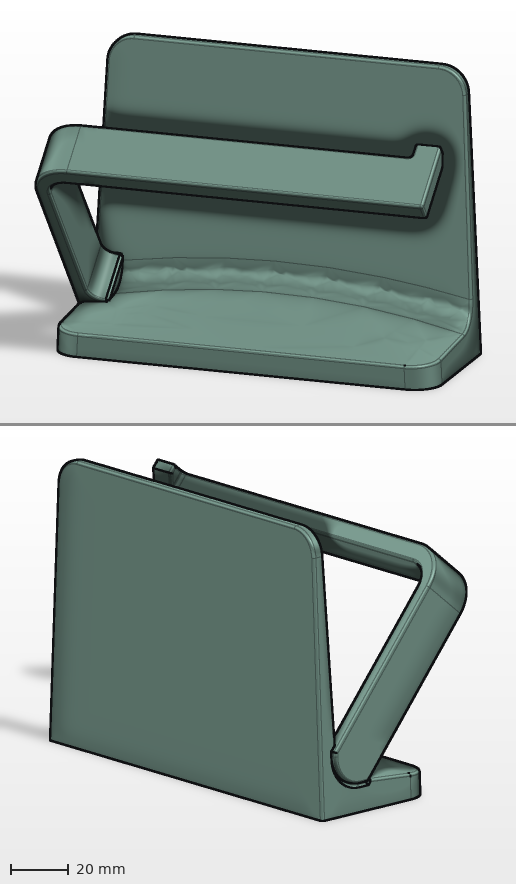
import cadquery as cq
import math


stand_width = 140.4
stand_height = 103.0
stand_depth = 51.5
side_draft = 2.7
plate_bottom_thickness = 8.5
plate_top_thickness = 4.2
foot_front_height = 8.4
foot_side_height = 12.3
foot_middle_height = 22.9
corner_radius = 10.0

arm_tilt = 50.0
arm_upper_offset = -10.6
arm_lower_offset = 9.7
arm_reach = 103.7
arm_left = -70.5
arm_length = 145.0
leg_thickness = 5.2
bar_thickness = 7.4
bend_outer_radius = 14.5
bend_inner_radius = 8.0
toe_length = 11.7
toe_reach = 24.2
root_radius = 11.6
root_back = -6.0
root_bottom = 10.3
lip_length = 9.5
lip_height = 5.4
lip_bevel = 3.9
lip_corner_radius = 1.5

seat_bevel_depth = 2.2
rim_radius = 1.0

half_width = stand_width / 2
arm_right = arm_left + arm_length
lip_left = arm_right - lip_length
toe_end = arm_left + toe_length
tilt = math.radians(arm_tilt)
along = cq.Vector(0, -math.cos(tilt), math.sin(tilt))
square = cq.Vector(0, -math.sin(tilt), -math.cos(tilt))
arc_middle = math.sqrt(0.5)
tolerance = 0.01


def tilted_point(reach, offset):
    """(Y, Z) of a point given along the tilt line and square to it."""
    point = along * reach + square * offset
    return (point.y, point.z)


def draw_side_outline():
    """Closed outline of the strip seen from its end: a tilted band with a rounded root."""
    upper_edge_z = (arm_upper_offset - square.y * root_back) / square.z
    lower_edge_y = (arm_lower_offset - square.z * root_bottom) / square.y
    centre_y = root_back - root_radius
    centre_z = root_bottom + root_radius
    return (
        cq.Workplane("YZ", origin=(arm_left, 0, 0))
        .moveTo(*tilted_point(arm_reach, arm_upper_offset))
        .lineTo(root_back, upper_edge_z)
        .lineTo(root_back, centre_z)
        .threePointArc(
            (centre_y + root_radius * arc_middle, centre_z - root_radius * arc_middle),
            (centre_y, root_bottom),
        )
        .lineTo(lower_edge_y, root_bottom)
        .lineTo(*tilted_point(arm_reach, arm_lower_offset))
        .close()
    )


def make_bent_strip():
    """The strip seen square to its edges: toe, leg, bend and bar in one outline."""
    inner_left = arm_left + leg_thickness
    inner_reach = arm_reach - bar_thickness
    toe_radius = toe_length - leg_thickness - rim_radius
    toe_gap = toe_radius * (1 - arc_middle)
    inner_gap = bend_inner_radius * (1 - arc_middle)
    outer_gap = bend_outer_radius * (1 - arc_middle)
    tilted_plane = cq.Plane(
        origin=(square * arm_upper_offset).toTuple(), xDir=(1, 0, 0), normal=square.toTuple()
    )
    return (
        cq.Workplane(tilted_plane)
        .moveTo(arm_left, 0)
        .lineTo(toe_end, 0)
        .lineTo(toe_end, toe_reach - rim_radius)
        .lineTo(toe_end - rim_radius, toe_reach)
        .threePointArc(
            (inner_left + toe_gap, toe_reach + toe_gap),
            (inner_left, toe_reach + toe_radius),
        )
        .lineTo(inner_left, inner_reach - bend_inner_radius)
        .threePointArc(
            (inner_left + inner_gap, inner_reach - inner_gap),
            (inner_left + bend_inner_radius, inner_reach),
        )
        .lineTo(arm_right, inner_reach)
        .lineTo(arm_right, arm_reach)
        .lineTo(arm_left + bend_outer_radius, arm_reach)
        .threePointArc(
            (arm_left + outer_gap, arm_reach - outer_gap),
            (arm_left, arm_reach - bend_outer_radius),
        )
        .close()
        .extrude(arm_lower_offset - arm_upper_offset)
    )


def make_lip():
    """Rises from the upper edge of the bar at its free end, bevelled on the inner side."""
    lip_top = arm_upper_offset - lip_height
    bar_inner = arm_reach - bar_thickness
    return (
        cq.Workplane("YZ", origin=(lip_left, 0, 0))
        .moveTo(*tilted_point(arm_reach, arm_lower_offset))
        .lineTo(*tilted_point(arm_reach, lip_top))
        .lineTo(*tilted_point(bar_inner + lip_bevel, lip_top))
        .lineTo(*tilted_point(bar_inner, lip_top + lip_bevel))
        .lineTo(*tilted_point(bar_inner, arm_lower_offset))
        .close()
        .extrude(lip_length)
    )


def in_lip_corner(edge):
    """The inside corner where the lip rises from the bar."""
    centre = edge.Center()
    at_lip_side = abs(centre.x - lip_left) < tolerance
    at_bar_edge = abs(centre.dot(square) - arm_upper_offset) < tolerance
    return at_lip_side and at_bar_edge


def make_arm_blank():
    """The arm with sharp rims."""
    strip = draw_side_outline().extrude(arm_length).intersect(make_bent_strip())
    blank = strip.union(make_lip()).clean()
    return blank.edges().filter(in_lip_corner).fillet(lip_corner_radius)


def on_arm_rim(edge):
    """Strip edges beyond the toe, the outer edge of the root, the free end and the lip's tip."""
    centre = edge.Center()
    offset = centre.dot(square)
    on_upper = abs(offset - arm_upper_offset) < tolerance
    on_lower = abs(offset - arm_lower_offset) < tolerance
    on_strip_edge = on_upper or on_lower
    beyond_toe = centre.dot(along) > toe_reach + tolerance
    on_left = abs(centre.x - arm_left) < tolerance
    on_root = on_left and centre.z < toe_reach and not on_strip_edge
    on_free_end = abs(centre.x - arm_right) < tolerance
    above_lip_corner = offset < arm_upper_offset - lip_corner_radius - tolerance
    runs_along_lip = abs(edge.Length() - lip_length) < tolerance
    on_lip_side = above_lip_corner and not runs_along_lip
    return (on_strip_edge and beyond_toe) or on_root or on_free_end or on_lip_side


def make_arm(arm_blank):
    return arm_blank.edges().filter(on_arm_rim).fillet(rim_radius)


def make_stand_outline():
    """Drafted outline with rounded top corners, as deep as the whole stand."""
    half_top = half_width - stand_height * math.tan(math.radians(side_draft))
    return (
        cq.Workplane("XZ")
        .moveTo(-half_width, 0)
        .lineTo(half_width, 0)
        .lineTo(half_top, stand_height)
        .lineTo(-half_top, stand_height)
        .close()
        .extrude(stand_depth)
        .edges("|Y and >Z")
        .fillet(corner_radius)
    )


def make_plate():
    """Back plate that thins toward the top."""
    return (
        cq.Workplane("YZ")
        .lineTo(0, stand_height)
        .lineTo(-plate_top_thickness, stand_height)
        .lineTo(-plate_bottom_thickness, 0)
        .close()
        .extrude(half_width, both=True)
    )


def make_foot():
    """Foot whose top goes from a crown at the back to a straight front edge."""
    return (
        cq.Workplane("XZ")
        .moveTo(-half_width, 0)
        .lineTo(half_width, 0)
        .lineTo(half_width, foot_side_height)
        .threePointArc((0, foot_middle_height), (-half_width, foot_side_height))
        .close()
        .workplane(offset=stand_depth)
        .moveTo(-half_width, 0)
        .lineTo(half_width, 0)
        .lineTo(half_width, foot_front_height)
        .lineTo(-half_width, foot_front_height)
        .close()
        .loft(ruled=True)
    )


def on_front_rim(edge):
    """Outline edges of the plate front and the foot top."""
    box = edge.BoundingBox()
    clear_of_back = box.ymax < -plate_top_thickness + tolerance
    clear_of_bottom = box.zmin > foot_front_height - tolerance
    is_blend_line = box.xlen > stand_width - corner_radius
    return clear_of_back and clear_of_bottom and not is_blend_line


def make_seat_bevel():
    """Cutter that bevels the mouth of the root's recess all round at 45 degrees."""
    mouth = draw_side_outline().offset2D(seat_bevel_depth, "intersection")
    return mouth.extrude(seat_bevel_depth, taper=45)


def make_stand(arm_blank):
    body = make_plate().union(make_foot()).intersect(make_stand_outline())
    inner_corner = cq.selectors.BoxSelector(
        (-half_width, -stand_depth / 2, foot_front_height),
        (half_width, -plate_top_thickness, stand_height / 2),
    )
    body = body.edges(inner_corner).edges(cq.selectors.LengthNthSelector(-1)).fillet(corner_radius)
    front_corners = cq.selectors.BoxSelector(
        (-stand_width, -stand_depth - 1.5, 1.5),
        (stand_width, -stand_depth + 1.5, foot_front_height - 1.5),
    )
    body = body.edges(front_corners).fillet(corner_radius)
    body = body.faces(">Y").edges("not <Z").fillet(rim_radius)
    body = body.edges().filter(on_front_rim).fillet(rim_radius)
    return body.cut(arm_blank).cut(make_seat_bevel())


arm_blank = make_arm_blank()
stand = make_stand(arm_blank)
arm = make_arm(arm_blank)
result = cq.Compound.makeCompound([stand.val(), arm.val()])